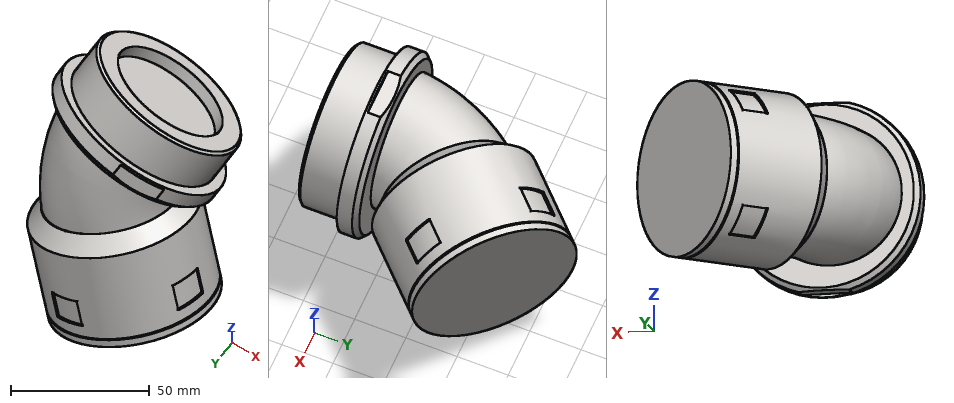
import cadquery as cq
import math

SPIGOT_DIAMETER = 63.0
SPIGOT_LENGTH = 17.0
SPIGOT_CHAMFER = 1.0
RECESS_DIAMETER = 45.5
RECESS_DEPTH = 5.0

FLANGE_DIAMETER = 71.5
FLANGE_THICKNESS = 8.0
FLANGE_CHAMFER = 2.0
FLANGE_FLAT_DISTANCE = 69.0
FLANGE_LIP_THICKNESS = 1.0
FLANGE_TOP = SPIGOT_LENGTH + FLANGE_THICKNESS

BEND_ANGLE = 45.0
AXIS_CROSSING_Y = 41.36
SOCKET_REACH = 54.26
SOCKET_DIAMETER = 64.0
SOCKET_LENGTH = 38.4
MOUTH_RIM_WIDTH = 3.0
GROOVE_WIDTH = 0.5
GROOVE_DIAMETER = 58.0

WALL = 3.0
PIPE_DIAMETER = RECESS_DIAMETER + 2 * WALL
BEND_RADIUS = 50.0
PIPE_OFFSET_X = -4.0
CONE_HEIGHT = (SOCKET_DIAMETER - PIPE_DIAMETER) / 2

WINDOW_COUNT = 4
WINDOW_WIDTH = 12.9
WINDOW_LENGTH = 10.6
WINDOW_DEPTH = 0.8
WINDOW_TO_MOUTH = 8.3


def cylinder_along_y(diameter, start, length):
    return cq.Workplane("XZ", origin=(0, start, 0)).circle(diameter / 2).extrude(-length)


def make_spigot():
    return cylinder_along_y(SPIGOT_DIAMETER, 0, SPIGOT_LENGTH).faces("<Y").chamfer(SPIGOT_CHAMFER)


def make_flange():
    flange = cylinder_along_y(FLANGE_DIAMETER, SPIGOT_LENGTH, FLANGE_THICKNESS)
    flange = flange.faces(">Y").chamfer(FLANGE_CHAMFER)
    lip = cylinder_along_y(FLANGE_DIAMETER, SPIGOT_LENGTH, FLANGE_LIP_THICKNESS)
    between_flats = cq.Workplane("XY").box(
        FLANGE_DIAMETER, 2 * FLANGE_TOP, FLANGE_FLAT_DISTANCE
    )
    return flange.intersect(between_flats).union(lip)


def make_pipe():
    """Bend at constant radius, ending tangent to the socket axis."""
    angle = math.radians(BEND_ANGLE)
    tangent_length = BEND_RADIUS * math.tan(angle / 2)
    corner_y = AXIS_CROSSING_Y + PIPE_OFFSET_X / math.tan(angle)
    start_y = corner_y - tangent_length
    return (
        cq.Workplane("XZ", origin=(PIPE_OFFSET_X, start_y, 0))
        .circle(PIPE_DIAMETER / 2)
        .revolve(BEND_ANGLE, (BEND_RADIUS, 0, 0), (BEND_RADIUS, -1, 0))
    )


def make_window_cutter():
    """Curved-floor pocket tool, centred on the +Z side of the unturned socket."""
    start = SOCKET_REACH - WINDOW_TO_MOUTH - WINDOW_LENGTH
    block = cq.Workplane("XY").box(
        WINDOW_WIDTH, WINDOW_LENGTH, SOCKET_DIAMETER, centered=(True, False, False)
    ).translate((0, start, 0))
    floor = cylinder_along_y(SOCKET_DIAMETER - 2 * WINDOW_DEPTH, start, WINDOW_LENGTH)
    return block.cut(floor)


def make_socket():
    """Socket built along Y from the axis crossing, then turned to the bend angle."""
    start = SOCKET_REACH - SOCKET_LENGTH
    cone_start = start - CONE_HEIGHT
    groove_end = SOCKET_REACH - MOUTH_RIM_WIDTH
    groove_start = groove_end - GROOVE_WIDTH
    socket = (
        cq.Workplane("XY")
        .moveTo(0, cone_start)
        .lineTo(PIPE_DIAMETER / 2, cone_start)
        .lineTo(SOCKET_DIAMETER / 2, start)
        .lineTo(SOCKET_DIAMETER / 2, groove_start)
        .lineTo(GROOVE_DIAMETER / 2, groove_start)
        .lineTo(GROOVE_DIAMETER / 2, groove_end)
        .lineTo(SOCKET_DIAMETER / 2, groove_end)
        .lineTo(SOCKET_DIAMETER / 2, SOCKET_REACH)
        .lineTo(0, SOCKET_REACH)
        .close()
        .revolve(360, (0, 0, 0), (0, 1, 0))
    )
    window = make_window_cutter()
    pitch = 360 / WINDOW_COUNT
    for index in range(WINDOW_COUNT):
        socket = socket.cut(window.rotate((0, 0, 0), (0, 1, 0), (index + 0.5) * pitch))
    return socket.rotate((0, 0, 0), (0, 0, 1), -BEND_ANGLE).translate((0, AXIS_CROSSING_Y, 0))


def make_recess():
    return cylinder_along_y(RECESS_DIAMETER, 0, RECESS_DEPTH)


result = make_spigot().union(make_flange()).union(make_pipe()).union(make_socket()).cut(make_recess())